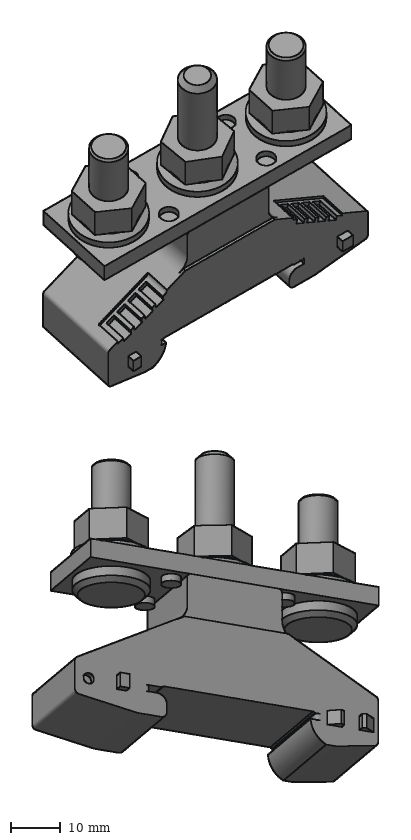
import cadquery as cq
import math

TOTAL_HEIGHT = 63.5
TOTAL_WIDTH = 24.6

PLATE_LENGTH = 63.7
PLATE_WIDTH = 19.85
PLATE_THICKNESS = 4.05
PLATE_BOTTOM = 32.55
PLATE_TOP = PLATE_BOTTOM + PLATE_THICKNESS

STUD_SPACING = 22.9
STUD_RADIUS = 4.0
OUTER_STUD_TOP = 57.6
OUTER_STUD_CHAMFER = 0.5
MIDDLE_STUD_CHAMFER = 1.2
NUT_FLATS = 13.1
NUT_HEIGHT = 6.7
MIDDLE_NUT_TURN = 3.0
WASHER_RADIUS = 8.2
WASHER_TOP_RADIUS = 6.4
WASHER_RIM = 1.55
WASHER_HEIGHT = 2.2
NUT_SEAT_HEIGHT = 0.3
HEAD_RADIUS = 7.9
HEAD_HEIGHT = 3.1
HEAD_CHAMFER = 1.1

PIN_RADIUS = 2.0
PIN_DEPTH = 1.5
PIN_X = 6.55
PIN_Y = 12.55

BASE_WIDTH = 21.2
COLUMN_HALF_LENGTH = 10.45
COLUMN_TOP_CHAMFER = 0.5
COLUMN_FILLET = 4.0
COLUMN_ROOT_COVER = 3.4
SHOULDER_Z = 22.75
SHOULDER_HALF_LENGTH = 11.55
SLOPE = math.radians(28.3)
BACK_Y = 35.65
FRONT_Y = -31.45
CORNER_RADIUS = 1.0
BACK_TOE_Z = 2.1
FRONT_TOE_Z = 1.6
BACK_SOLE_Y = 21.9
FRONT_SOLE_Y = -21.95
BACK_FOOT_TIP_Y = 15.3
BACK_TIP_LOWER_RADIUS = 1.2
BACK_TIP_UPPER_RADIUS = 2.15
FRONT_FOOT_TIP_Y = -16.5
FRONT_TIP_HEEL_Y = -19.9
FRONT_TIP_MIDDLE = (-17.35, 2.3)

RAIL_Z = 6.75
SLOT_TOP_Z = 6.5
SLOT_BOTTOM_Z = 5.05
BACK_SLOT_Y = 19.1
FRONT_SLOT_Y = -17.6
BACK_SLOT_FLARE = 0.7
FRONT_SLOT_FLARE = 0.9
BACK_SLOT_ROOF = 2.7
FRONT_SLOT_ROOF = 0.2
ROOF_STEP_RUN = 0.4

LUG_BOTTOM_Z = 4.4
LUG_HEIGHT = 3.05
LUGS = [
    (-1, 25.3, 2.1),
    (1, 29.0, 2.7),
    (1, -25.25, 2.0),
]
HOOKS = [
    (-20.2, -1),
    (-30.45, 1),
]
HOOK_LENGTH = 3.2
HOOK_TIP = 2.35
HOOK_NOSE = 0.4
SIDE_HOLE_RADIUS = 1.15
SIDE_HOLE_DEPTH = 1.35
SIDE_HOLE_Y = 32.6
SIDE_HOLE_Z = 5.75

POCKET_X = 4.4
POCKET_TOP_Y = 16.3
POCKET_END_Y = 28.95
POCKET_DROP = 0.64
POCKET_FILLET = 1.0
GROOVE_X = 5.2
GROOVE_COUNT = 4
FIRST_GROOVE_Y = 17.35
GROOVE_PITCH = 2.8
GROOVE_WIDTH = 1.9
GROOVE_DEPTH = 1.0
GROOVE_UNDERCUT = 0.2

HALF_BASE = BASE_WIDTH / 2
LUG_REACH = (TOTAL_WIDTH - BASE_WIDTH) / 2


def slope_z(distance):
    """Height of the sloping top at a distance from the middle, along Y."""
    return SHOULDER_Z - (distance - SHOULDER_HALF_LENGTH) * math.tan(SLOPE)


def extrude_x(outline, x_start, x_end):
    """Extrude an outline drawn in the YZ plane from x_start to x_end."""
    return outline.close().extrude(x_end - x_start).translate((x_start, 0, 0))


def foot_profile():
    """The wide lower part of the base: sloping shoulders and two feet that clasp a rail."""
    outline = (
        cq.Workplane("YZ")
        .moveTo(SHOULDER_HALF_LENGTH, SHOULDER_Z)
        .lineTo(BACK_Y, slope_z(BACK_Y))
        .lineTo(BACK_Y, BACK_TOE_Z)
        .lineTo(BACK_SOLE_Y, 0)
        .lineTo(BACK_FOOT_TIP_Y, 0)
        .lineTo(BACK_FOOT_TIP_Y, SLOT_BOTTOM_Z)
        .lineTo(BACK_SLOT_Y, SLOT_BOTTOM_Z)
        .lineTo(BACK_SLOT_Y, SLOT_TOP_Z)
        .lineTo(BACK_SLOT_Y - BACK_SLOT_ROOF, SLOT_TOP_Z)
        .lineTo(BACK_SLOT_Y - BACK_SLOT_ROOF - ROOF_STEP_RUN, RAIL_Z)
        .lineTo(FRONT_SLOT_Y + FRONT_SLOT_ROOF + ROOF_STEP_RUN, RAIL_Z)
        .lineTo(FRONT_SLOT_Y + FRONT_SLOT_ROOF, SLOT_TOP_Z)
        .lineTo(FRONT_SLOT_Y, SLOT_TOP_Z)
        .lineTo(FRONT_SLOT_Y, SLOT_BOTTOM_Z)
        .lineTo(FRONT_FOOT_TIP_Y, SLOT_BOTTOM_Z)
        .threePointArc(FRONT_TIP_MIDDLE, (FRONT_TIP_HEEL_Y, 0))
        .lineTo(FRONT_SOLE_Y, 0)
        .lineTo(FRONT_Y, FRONT_TOE_Z)
        .lineTo(FRONT_Y, slope_z(-FRONT_Y))
        .lineTo(-SHOULDER_HALF_LENGTH, SHOULDER_Z)
    )
    body = extrude_x(outline, -HALF_BASE, HALF_BASE)
    rounded_corners = [
        (BACK_Y, slope_z(BACK_Y), CORNER_RADIUS),
        (BACK_Y, BACK_TOE_Z, CORNER_RADIUS),
        (FRONT_Y, slope_z(-FRONT_Y), CORNER_RADIUS),
        (FRONT_Y, FRONT_TOE_Z, CORNER_RADIUS),
        (BACK_FOOT_TIP_Y, 0, BACK_TIP_LOWER_RADIUS),
        (BACK_FOOT_TIP_Y, SLOT_BOTTOM_Z, BACK_TIP_UPPER_RADIUS),
    ]
    for y, z, radius in rounded_corners:
        body = body.edges(cq.NearestToPointSelector((0, y, z))).fillet(radius)
    slot_middle_z = (SLOT_BOTTOM_Z + SLOT_TOP_Z) / 2
    for y, radius in [(BACK_SLOT_Y, BACK_SLOT_FLARE), (FRONT_SLOT_Y, FRONT_SLOT_FLARE)]:
        mouth = cq.NearestToPointSelector((-HALF_BASE, y, slot_middle_z))
        body = body.edges(mouth).fillet(radius)
    return body


def column():
    """The narrower column that carries the plate, blended into the slopes."""
    foot_half = SHOULDER_HALF_LENGTH + COLUMN_FILLET
    root_z = RAIL_Z + COLUMN_ROOT_COVER
    outline = (
        cq.Workplane("YZ")
        .moveTo(-foot_half, root_z)
        .lineTo(-foot_half, slope_z(foot_half))
        .lineTo(-COLUMN_HALF_LENGTH, slope_z(COLUMN_HALF_LENGTH))
        .lineTo(-COLUMN_HALF_LENGTH, PLATE_BOTTOM)
        .lineTo(COLUMN_HALF_LENGTH, PLATE_BOTTOM)
        .lineTo(COLUMN_HALF_LENGTH, slope_z(COLUMN_HALF_LENGTH))
        .lineTo(foot_half, slope_z(foot_half))
        .lineTo(foot_half, root_z)
    )
    body = extrude_x(outline, -PLATE_WIDTH / 2, PLATE_WIDTH / 2)
    for y in (-COLUMN_HALF_LENGTH, COLUMN_HALF_LENGTH):
        root_edge = cq.NearestToPointSelector((0, y, slope_z(COLUMN_HALF_LENGTH)))
        body = body.edges(root_edge).fillet(COLUMN_FILLET)
        top_edge = cq.NearestToPointSelector((0, y, PLATE_BOTTOM))
        body = body.edges(top_edge).chamfer(COLUMN_TOP_CHAMFER)
    return body


def pocket_floor_z(distance):
    return slope_z(distance) - POCKET_DROP


def grip_pocket_cutter():
    """A shallow pocket along the back slope, open at +X, with leaning grooves in its floor."""
    top_z = slope_z(POCKET_TOP_Y)
    pocket_outline = (
        cq.Workplane("YZ")
        .moveTo(POCKET_TOP_Y, pocket_floor_z(POCKET_TOP_Y))
        .lineTo(POCKET_TOP_Y, top_z)
        .lineTo(POCKET_END_Y, top_z)
        .lineTo(POCKET_END_Y, pocket_floor_z(POCKET_END_Y))
    )
    cutter = extrude_x(pocket_outline, POCKET_X, HALF_BASE)
    upper_corner = cq.NearestToPointSelector((0, POCKET_TOP_Y, pocket_floor_z(POCKET_TOP_Y)))
    cutter = cutter.edges("|X").edges(upper_corner).fillet(POCKET_FILLET)
    for i in range(GROOVE_COUNT):
        upper_y = FIRST_GROOVE_Y + i * GROOVE_PITCH
        lower_y = upper_y + GROOVE_WIDTH
        groove_outline = (
            cq.Workplane("YZ")
            .moveTo(upper_y, pocket_floor_z(upper_y))
            .lineTo(lower_y, pocket_floor_z(lower_y))
            .lineTo(lower_y - GROOVE_UNDERCUT, pocket_floor_z(lower_y) - GROOVE_DEPTH)
            .lineTo(upper_y - GROOVE_UNDERCUT, pocket_floor_z(upper_y) - GROOVE_DEPTH)
        )
        cutter = cutter.union(extrude_x(groove_outline, GROOVE_X, HALF_BASE))
    return cutter


def lug(side, y_middle, length):
    """A rectangular lug on the +X (side = 1) or -X (side = -1) face."""
    return (
        cq.Workplane("XY")
        .box(LUG_REACH, length, LUG_HEIGHT)
        .translate((side * (HALF_BASE + LUG_REACH / 2), y_middle, LUG_BOTTOM_Z + LUG_HEIGHT / 2))
    )


def snap_hook(thin_end_y, direction):
    """A wedge on the -X face that thickens from its thin end toward `direction` along Y."""
    tip_x = -HALF_BASE - LUG_REACH
    return (
        cq.Workplane("XY")
        .workplane(offset=LUG_BOTTOM_Z)
        .polyline([
            (-HALF_BASE, thin_end_y),
            (tip_x, thin_end_y + direction * HOOK_TIP),
            (tip_x + HOOK_NOSE, thin_end_y + direction * HOOK_LENGTH),
            (-HALF_BASE, thin_end_y + direction * HOOK_LENGTH),
        ])
        .close()
        .extrude(LUG_HEIGHT)
    )


def make_base():
    base = foot_profile().union(column())
    back_pocket = grip_pocket_cutter()
    base = base.cut(back_pocket).cut(back_pocket.mirror("XZ"))
    for side, y_middle, length in LUGS:
        base = base.union(lug(side, y_middle, length))
    for thin_end_y, direction in HOOKS:
        base = base.union(snap_hook(thin_end_y, direction))
    hole = (
        cq.Workplane("YZ")
        .center(SIDE_HOLE_Y, SIDE_HOLE_Z)
        .circle(SIDE_HOLE_RADIUS)
        .extrude(SIDE_HOLE_DEPTH)
        .translate((-HALF_BASE, 0, 0))
    )
    return base.cut(hole)


def cylinder(radius, bottom, top):
    return cq.Workplane("XY").workplane(offset=bottom).circle(radius).extrude(top - bottom)


def stud(top, end_chamfer, nut_turn):
    """Conical washer, nut and threaded end above the plate, on the Z axis."""
    washer_top = PLATE_TOP + WASHER_HEIGHT
    nut_bottom = washer_top + NUT_SEAT_HEIGHT
    nut_across_corners = NUT_FLATS / math.cos(math.pi / 6)
    washer = (
        cq.Workplane("XZ")
        .polyline([
            (0, PLATE_TOP), (WASHER_RADIUS, PLATE_TOP), (WASHER_RADIUS, PLATE_TOP + WASHER_RIM),
            (WASHER_TOP_RADIUS, washer_top), (WASHER_TOP_RADIUS, nut_bottom), (0, nut_bottom),
        ])
        .close()
        .revolve(360, (0, 0), (0, 1))
    )
    nut = (
        cq.Workplane("XY")
        .workplane(offset=nut_bottom)
        .polygon(6, nut_across_corners)
        .extrude(NUT_HEIGHT)
        .rotate((0, 0, 0), (0, 0, 1), nut_turn)
    )
    shank = cylinder(STUD_RADIUS, nut_bottom, top).faces(">Z").chamfer(end_chamfer)
    return washer.union(nut).union(shank)


def make_bus_bar():
    bar = (
        cq.Workplane("XY")
        .box(PLATE_WIDTH, PLATE_LENGTH, PLATE_THICKNESS)
        .translate((0, 0, PLATE_BOTTOM + PLATE_THICKNESS / 2))
    )
    head = cylinder(HEAD_RADIUS, PLATE_BOTTOM - HEAD_HEIGHT, PLATE_BOTTOM).faces("<Z").chamfer(HEAD_CHAMFER)
    for y in (-STUD_SPACING, STUD_SPACING):
        outer_stud = stud(OUTER_STUD_TOP, OUTER_STUD_CHAMFER, 0).union(head)
        bar = bar.union(outer_stud.translate((0, y, 0)))
    bar = bar.union(stud(TOTAL_HEIGHT, MIDDLE_STUD_CHAMFER, MIDDLE_NUT_TURN))
    for x in (-PIN_X, PIN_X):
        for y in (-PIN_Y, PIN_Y):
            pin = cylinder(PIN_RADIUS, PLATE_BOTTOM - PIN_DEPTH, PLATE_BOTTOM)
            dimple = cylinder(PIN_RADIUS, PLATE_TOP - PIN_DEPTH, PLATE_TOP)
            bar = bar.union(pin.translate((x, y, 0))).cut(dimple.translate((x, y, 0)))
    return bar


base = make_base()
bus_bar = make_bus_bar()
result = cq.Compound.makeCompound([base.val(), bus_bar.val()])